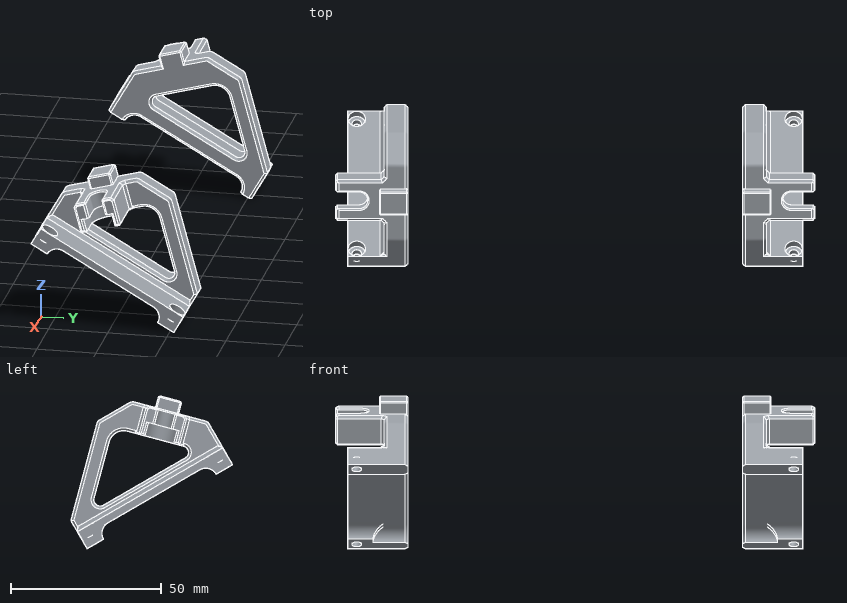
import cadquery as cq
import math


overall_width = 159.0
bracket_width = 24.0
plate_outset = 4.0
frame_thickness = 8.0
frame_outer_x = bracket_width - frame_thickness

plate_length = 55.8
front_height = 16.5
rear_height = 10.8
crown_height = 35.0
corner_radius = 2.0
edge_chamfer = 1.0

window_floor = 9.9
rear_leg_width = 5.5
window_small_radius = 2.0
window_large_radius = 5.0

plate_thickness = 6.5
root_chamfer = 1.5
foot_length = 6.4
arch_height = 4.0
rear_foot_short_length = 4.3
rear_foot_wide_part = 8.5

screw_inset = 3.0
screw_hole_diameter = 3.2
screw_head_diameter = 5.7
screw_seat_height = 3.0

fork_from_slope_start = 14.0
fork_width = 14.0
fork_depth = 10.0
tip_chamfer = 0.6
fine_chamfer = 0.5
slot_width = 5.7
slot_end_x = 7.8
slot_depth = 5.4
slot_recess_width = 9.9
tab_length = 8.0
tab_width = 9.5
tab_height = 4.1

tilt_angle = -30.0

DIAGONAL = math.sqrt(2)
slope_center_y = fork_from_slope_start / DIAGONAL
slope_plane = cq.Plane(
    origin=(0, slope_center_y, front_height + slope_center_y), xDir=(1, 0, 0), normal=(0, -1, 1)
)


def side_sketch(x):
    """Workplane in the Y-Z plane at the given X, extruding toward +X."""
    return cq.Workplane("YZ", origin=(x, 0, 0))


def place_on_slope(body):
    """Move a body built on the X-Y plane onto the front slope, its Z axis normal to the slope."""
    return body.newObject([body.val().moved(slope_plane.location)])


def make_frame():
    solid = (
        side_sketch(frame_outer_x)
        .polyline([
            (0, 0),
            (plate_length, 0),
            (plate_length, rear_height),
            (plate_length - (crown_height - rear_height), crown_height),
            (crown_height - front_height, crown_height),
            (0, front_height),
        ])
        .close()
        .extrude(frame_thickness)
    )
    front_corner = cq.selectors.NearestToPointSelector((frame_outer_x + frame_thickness / 2, 0, front_height))
    solid = solid.edges(front_corner).fillet(corner_radius)
    solid = solid.faces(">Z").edges("|X").fillet(corner_radius)
    solid = solid.cut(make_window()).faces("<X").chamfer(edge_chamfer)
    return solid.cut(make_underside_cut()).faces(">X").edges("not <Z").chamfer(edge_chamfer)


def make_window():
    """Right-angled triangle whose two upper sides follow the frame's 45 degree sides."""
    front_side_offset = front_height - fork_depth * DIAGONAL
    rear_side_offset = plate_length + rear_height - rear_leg_width * DIAGONAL
    front_corner = (window_floor - front_side_offset, window_floor)
    rear_corner = (rear_side_offset - window_floor, window_floor)
    top_y = (rear_side_offset - front_side_offset) / 2
    top_corner = (top_y, top_y + front_side_offset)
    window = (
        side_sketch(frame_outer_x)
        .polyline([front_corner, rear_corner, top_corner])
        .close()
        .extrude(frame_thickness)
    )
    return (
        window.edges("|X and >Z").fillet(window_large_radius)
        .edges("|X and (<Y or >Y)").fillet(window_small_radius)
    )


def make_plate():
    plate_end_x = frame_outer_x + 2 * edge_chamfer
    plate = cq.Workplane().box(
        plate_end_x - plate_outset, plate_length, plate_thickness, centered=False
    ).translate((plate_outset, 0, 0))
    root = (
        cq.Workplane("XZ")
        .moveTo(frame_outer_x - root_chamfer, plate_thickness)
        .lineTo(frame_outer_x, plate_thickness)
        .lineTo(frame_outer_x, plate_thickness + root_chamfer)
        .close()
        .extrude(-plate_length)
    )
    root_plan = (
        cq.Workplane()
        .polyline([
            (frame_outer_x - root_chamfer, 0),
            (frame_outer_x, edge_chamfer),
            (frame_outer_x, plate_length - edge_chamfer),
            (frame_outer_x - root_chamfer, plate_length),
        ])
        .close()
        .extrude(plate_thickness + root_chamfer)
    )
    return plate.union(root.intersect(root_plan))


def make_arch(rear_foot):
    """Space between the feet, with a quarter-round at each foot."""
    rear_y = plate_length - rear_foot
    return (
        side_sketch(0)
        .moveTo(foot_length, 0)
        .radiusArc((foot_length + arch_height, arch_height), arch_height)
        .lineTo(rear_y - arch_height, arch_height)
        .radiusArc((rear_y, 0), arch_height)
        .close()
        .extrude(bracket_width)
    )


def make_underside_cut():
    """Arch that reaches further under the rear foot on the inner side of the screw."""
    step_x = plate_outset + rear_foot_wide_part
    inner_zone = (
        cq.Workplane("XZ")
        .moveTo(step_x, 0)
        .radiusArc((step_x + arch_height, arch_height), arch_height)
        .lineTo(bracket_width, arch_height)
        .lineTo(bracket_width, 0)
        .close()
        .extrude(-plate_length)
    )
    return make_arch(foot_length).union(make_arch(rear_foot_short_length).intersect(inner_zone))


def make_screw_holes():
    spots = [
        (plate_outset + screw_inset, screw_inset),
        (plate_outset + screw_inset, plate_length - screw_inset),
    ]
    shanks = cq.Workplane().pushPoints(spots).circle(screw_hole_diameter / 2).extrude(plate_thickness)
    heads = (
        cq.Workplane(origin=(0, 0, screw_seat_height))
        .pushPoints(spots)
        .circle(screw_head_diameter / 2)
        .extrude(plate_thickness - screw_seat_height)
    )
    return shanks.union(heads)


def make_fork():
    """Forked arm that flares at 45 degrees where it meets the frame."""
    half = fork_width / 2
    flare_start_x = frame_outer_x - edge_chamfer
    flare_end_x = frame_outer_x + edge_chamfer
    root_half = half + flare_end_x - flare_start_x
    fork = (
        cq.Workplane()
        .polyline([
            (flare_end_x, -root_half),
            (flare_start_x, -half),
            (0, -half),
            (0, half),
            (flare_start_x, half),
            (flare_end_x, root_half),
        ])
        .close()
        .extrude(-fork_depth)
    )
    fork = fork.faces(">Z").edges("not(<X or >X)").chamfer(edge_chamfer)
    fork = fork.faces("<Z").edges("not(<X or >X)").chamfer(fine_chamfer)
    fork = fork.faces("<X").chamfer(tip_chamfer)
    fork = fork.cut(make_slot(slot_width, 0, fork_depth))
    fork = fork.cut(make_slot(slot_recess_width, slot_depth, fork_depth))
    slot_rim = cq.selectors.BoxSelector(
        (tip_chamfer, -slot_width, -fine_chamfer), (frame_outer_x, slot_width, fine_chamfer)
    )
    fork = fork.faces(">Z").edges(slot_rim).chamfer(fine_chamfer)
    return place_on_slope(fork)


def make_slot(width, start_depth, end_depth):
    """Round-ended slot open at the fork tips, with bevelled mouth corners."""
    half = width / 2
    return (
        cq.Workplane(origin=(0, 0, -start_depth))
        .moveTo(0, -half - tip_chamfer)
        .lineTo(tip_chamfer, -half)
        .lineTo(slot_end_x, -half)
        .threePointArc((slot_end_x + half, 0), (slot_end_x, half))
        .lineTo(tip_chamfer, half)
        .lineTo(0, half + tip_chamfer)
        .close()
        .extrude(start_depth - end_depth)
    )


def make_tab():
    """Block beside the fork, sunk by one edge chamfer so that it fills the frame's chamfered edge."""
    tab = (
        cq.Workplane(origin=(bracket_width - tab_width / 2, 0, -edge_chamfer))
        .rect(tab_width, tab_length)
        .extrude(tab_height + edge_chamfer)
    )
    return place_on_slope(tab.edges("|Z or >Z").chamfer(fine_chamfer))


def make_bracket():
    bracket = make_frame().union(make_plate()).union(make_fork()).union(make_tab())
    bracket = bracket.cut(make_underside_cut()).cut(make_screw_holes())
    return bracket.rotate((0, 0, 0), (1, 0, 0), tilt_angle).translate((-overall_width / 2, 0, 0))


left_bracket = make_bracket()
right_bracket = left_bracket.mirror("YZ")

result = cq.Compound.makeCompound([left_bracket.val(), right_bracket.val()])